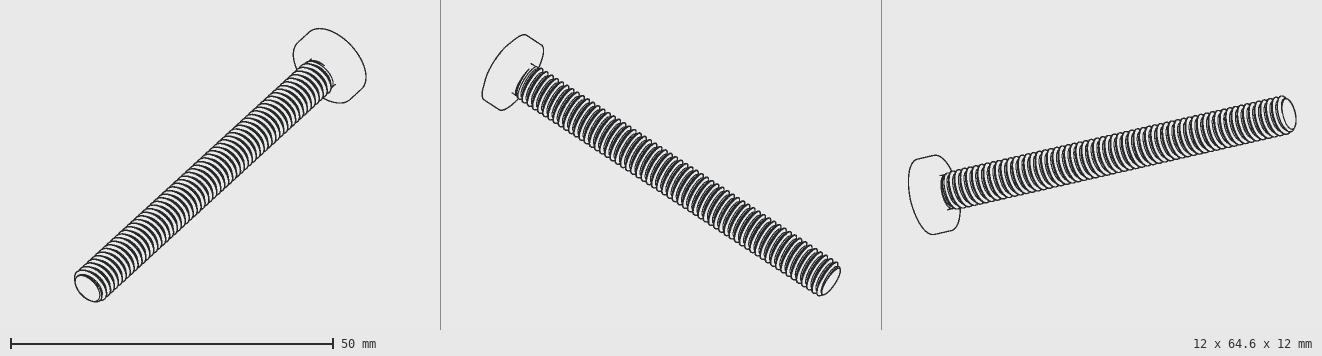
import cadquery as cq
import math

thread_diameter = 6.0
thread_radius = thread_diameter / 2
pitch = thread_diameter / 6
crest_flat = pitch / 8
root_flat = pitch / 4
flank_slope = math.tan(math.radians(30))
thread_depth = (pitch - crest_flat - root_flat) / (2 * flank_slope)
root_radius = thread_radius - thread_depth
turns = 59
thread_length = turns * pitch
lowest_crest = 1.0
tip_chamfer = 0.6

groove_clearance = 0.05
groove_overrun = pitch
trim_clearance = 0.1

recess_arm_width = 1.0
recess_arm_span = 5.3
recess_depth = 1.95
recess_corner_radius = math.hypot(recess_arm_width, recess_arm_width) / 2

total_length = 64.55
head_diameter = 12.0
head_radius = head_diameter / 2
head_height = 4.6
dome_rise = 1.55
edge_rounding = 0.1
dome_radius = (head_radius**2 + dome_rise**2) / (2 * dome_rise)
dome_apex = total_length + dome_radius - math.sqrt(dome_radius**2 - recess_corner_radius**2)
shank_length = dome_apex - head_height

neck_diameter = 5.4
neck_radius = neck_diameter / 2
runout_length = pitch


def make_groove():
    """Right-handed trapezoidal groove, long enough to cross one turn of thread."""
    groove_length = pitch + 2 * groove_overrun
    outer_radius = thread_radius + groove_clearance
    root_half = root_flat / 2
    outer_half = root_half + (outer_radius - root_radius) * flank_slope
    corners = [
        (root_radius, -root_half),
        (outer_radius, -outer_half),
        (outer_radius, outer_half),
        (root_radius, root_half),
    ]
    edges = [
        cq.Wire.makeHelix(pitch, groove_length, radius).translate(cq.Vector(0, 0, height - groove_overrun))
        for radius, height in corners
    ]
    next_edges = edges[1:] + edges[:1]
    faces = [cq.Face.makeRuledSurface(edge, next_edge) for edge, next_edge in zip(edges, next_edges)]
    for end_points in ([e.startPoint() for e in edges], [e.endPoint() for e in edges]):
        faces.append(cq.Face.makeFromWires(cq.Wire.makePolygon(end_points, close=True)))
    return cq.Solid.makeSolid(cq.Shell.makeShell(faces))


def make_thread():
    """Thread of identical one-pitch slices whose side faces are sewn into one solid."""
    seam_angle = 100
    stock = cq.Workplane("XY").circle(thread_radius).extrude(pitch)
    stock = stock.rotate((0, 0, 0), (0, 0, 1), seam_angle)
    thread_slice = stock.cut(cq.Workplane(obj=make_groove()))
    bottom_cap = thread_slice.faces("<Z").val()
    top_cap = thread_slice.faces(">Z").val()
    side_faces = [face for face in thread_slice.faces().vals() if face.geomType() != "PLANE"]

    faces = [bottom_cap, top_cap.translate(cq.Vector(0, 0, thread_length - pitch))]
    for turn in range(turns):
        offset = cq.Vector(0, 0, turn * pitch)
        faces += [face.translate(offset) for face in side_faces]
    thread = cq.Workplane(obj=cq.Solid.makeSolid(cq.Shell.makeShell(faces)))

    phase_angle = 360 * (pitch / 2 - lowest_crest) / pitch
    return thread.rotate((0, 0, 0), (0, 0, 1), phase_angle)


def make_end_trim(end_height, end_radius, taper_start):
    """Triangular ring that tapers the thread down to end_radius at one of its ends."""
    taper_slope = (taper_start - end_height) / (thread_radius - end_radius)
    inner_radius = end_radius - trim_clearance
    outer_radius = thread_radius + trim_clearance
    inner_height = end_height - trim_clearance * taper_slope
    outer_height = taper_start + trim_clearance * taper_slope
    profile = (
        cq.Workplane("XZ")
        .moveTo(inner_radius, inner_height)
        .lineTo(outer_radius, outer_height)
        .lineTo(outer_radius, inner_height)
        .close()
    )
    return profile.revolve(360, (0, 0), (0, 1))


def make_head():
    """Neck and flat-bottomed, edge-rounded head with a shallow spherical dome on top."""
    rim_top = dome_apex - dome_rise
    mid_angle = math.asin(head_radius / dome_radius) / 2
    dome_mid_point = (
        dome_radius * math.sin(mid_angle),
        dome_apex - dome_radius * (1 - math.cos(mid_angle)),
    )
    profile = (
        cq.Workplane("XZ")
        .moveTo(0, thread_length)
        .lineTo(neck_radius, thread_length)
        .lineTo(neck_radius, shank_length)
        .lineTo(head_radius, shank_length)
        .lineTo(head_radius, rim_top)
        .threePointArc(dome_mid_point, (0, dome_apex))
        .close()
    )
    head = profile.revolve(360, (0, 0), (0, 1))
    rounded_edges = head.faces("%CYLINDER").edges("%CIRCLE and (not <Z)")
    return rounded_edges.fillet(edge_rounding)


def make_recess():
    """Two crossing slots sunk into the dome."""
    top = cq.Workplane("XY").workplane(offset=dome_apex)
    arm_along_x = top.rect(recess_arm_span, recess_arm_width).extrude(-recess_depth)
    arm_along_y = top.rect(recess_arm_width, recess_arm_span).extrude(-recess_depth)
    return arm_along_x.union(arm_along_y)


tip_trim = make_end_trim(0, thread_radius - tip_chamfer, tip_chamfer)
runout_trim = make_end_trim(thread_length, neck_radius, thread_length - runout_length)
threaded_shank = make_thread().cut(tip_trim).cut(runout_trim)
recessed_head = make_head().cut(make_recess())
screw = threaded_shank.union(recessed_head)

result = screw.rotate((0, 0, 0), (1, 0, 0), -90)